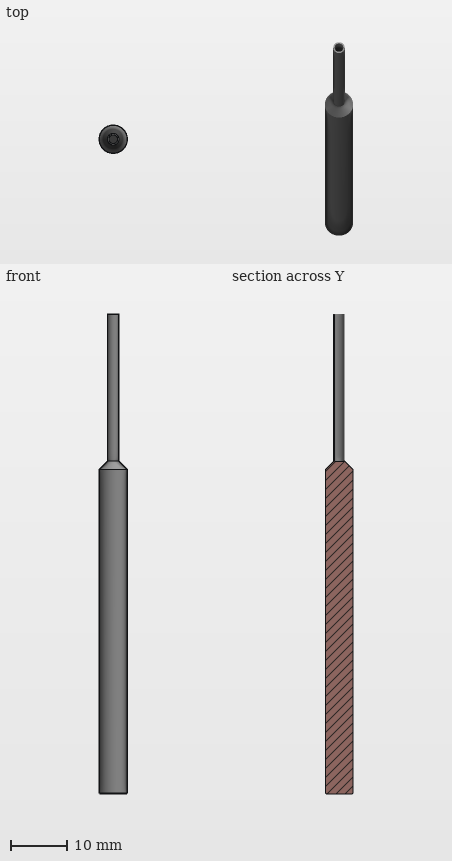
import cadquery as cq

total_length = 85.0
body_diameter = 5.0
tube_diameter = 2.0
tube_length = 26.0
bore_diameter = 1.5
bottom_chamfer = 0.25

body_radius = body_diameter / 2
tube_radius = tube_diameter / 2
shoulder_height = body_radius - tube_radius
tube_base_z = total_length - tube_length
shoulder_base_z = tube_base_z - shoulder_height


def make_stepped_pin():
    """Round body narrowing through a conical shoulder to a thin tube."""
    return (
        cq.Workplane("XZ")
        .moveTo(0, 0)
        .lineTo(body_radius - bottom_chamfer, 0)
        .lineTo(body_radius, bottom_chamfer)
        .lineTo(body_radius, shoulder_base_z)
        .lineTo(tube_radius, tube_base_z)
        .lineTo(tube_radius, total_length)
        .lineTo(0, total_length)
        .close()
        .revolve(360, (0, 0, 0), (0, 1, 0))
    )


def make_bore():
    """Blind bore running the length of the tube, with a flat floor at its base."""
    return (
        cq.Workplane("XY")
        .workplane(offset=tube_base_z)
        .circle(bore_diameter / 2)
        .extrude(tube_length)
    )


result = make_stepped_pin().cut(make_bore())